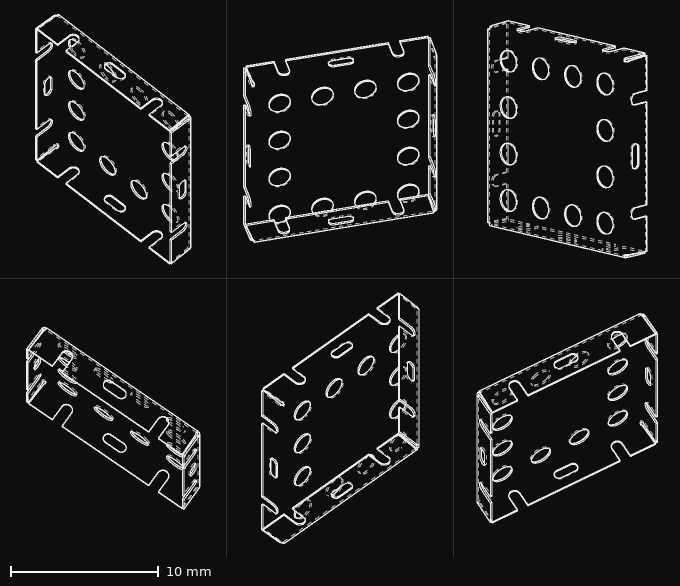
import cadquery as cq

width = 13.06
depth = 2.0
height = 14.02

thickness = 0.13
inner_radius = 0.07
outer_radius = inner_radius + thickness

bend_setback = 0.26
wall_root_setback = 0.22
wall_tip_setback = 0.155
relief_run = 0.1

hole_diameter = 1.5
hole_pitch_x = 3.0
hole_pitch_z = 3.25
holes_per_side = 4

notch_width = 0.8
notch_depth = 1.5
notch_offset = 4.0
slot_length = 1.75
slot_width = 0.65
slot_from_back = 0.9

back = depth / 2
front = -depth / 2


def base_plate():
    """Flat base between the bends, with a corner cut between neighbouring bends."""
    plate = cq.Workplane("XY").box(
        width - 2 * outer_radius, thickness, height - 2 * outer_radius
    )
    corner_cut = bend_setback - outer_radius
    plate = plate.edges("|Y").chamfer(corner_cut)
    return plate.translate((0, back - thickness / 2, 0))


def wall_section(outer_face):
    """Section of a bend and its wall in the YZ plane; the wall's outer face is at z = outer_face."""
    inner_face = outer_face - thickness
    bend_start = outer_face - outer_radius
    bend_end = back - outer_radius
    diagonal = 0.5 ** 0.5
    outer_mid = (bend_end + outer_radius * diagonal, bend_start + outer_radius * diagonal)
    inner_mid = (bend_end + inner_radius * diagonal, bend_start + inner_radius * diagonal)
    return (
        cq.Workplane("YZ")
        .moveTo(back, bend_start)
        .threePointArc(outer_mid, (bend_end, outer_face))
        .lineTo(front, outer_face)
        .lineTo(front, inner_face)
        .lineTo(bend_end, inner_face)
        .threePointArc(inner_mid, (back - thickness, bend_start))
        .close()
    )


def wall_outline(span):
    """Outline of a wall in the XY plane: relieved at the bend, widening towards the free edge."""
    bend_half = span / 2 - bend_setback
    root_half = span / 2 - wall_root_setback
    tip_half = span / 2 - wall_tip_setback
    bend_end = back - outer_radius
    return (
        cq.Workplane("XY")
        .moveTo(-bend_half, back)
        .lineTo(bend_half, back)
        .lineTo(bend_half, bend_end)
        .lineTo(root_half, bend_end - relief_run)
        .lineTo(tip_half, front)
        .lineTo(-tip_half, front)
        .lineTo(-root_half, bend_end - relief_run)
        .lineTo(-bend_half, bend_end)
        .close()
    )


def wall_cutouts(reach):
    """Central slot and two open notches, cut upwards from z = 0 to z = reach."""
    cutouts = (
        cq.Workplane("XY")
        .center(0, back - slot_from_back)
        .slot2D(slot_length, slot_width)
        .extrude(reach)
    )
    for side in (-1, 1):
        notch = (
            cq.Workplane("XY")
            .center(side * notch_offset, front)
            .slot2D(2 * notch_depth, notch_width, 90)
            .extrude(reach)
        )
        cutouts = cutouts.union(notch)
    return cutouts


def wall(span, across):
    """Bent wall of the given span on the +Z side of a shield measuring `across` between walls."""
    blank = wall_section(across / 2).extrude(span / 2, both=True)
    blank = blank.intersect(wall_outline(span).extrude(across))
    return blank.cut(wall_cutouts(across))


def base_holes():
    """Ring of round holes along the border of the base."""
    last = holes_per_side - 1
    points = []
    for column in range(holes_per_side):
        for row in range(holes_per_side):
            if column in (0, last) or row in (0, last):
                x = (column - last / 2) * hole_pitch_x
                z = (row - last / 2) * hole_pitch_z
                points.append((x, z))
    return (
        cq.Workplane("XZ")
        .pushPoints(points)
        .circle(hole_diameter / 2)
        .extrude(depth, both=True)
    )


def rotated_about_y(body, angle):
    return body.rotate((0, 0, 0), (0, 1, 0), angle)


long_wall = wall(height, width)
short_wall = wall(width, height)

shield = base_plate()
for turn in (0, 180):
    shield = shield.union(rotated_about_y(short_wall, turn))
    shield = shield.union(rotated_about_y(long_wall, turn + 90))

result = shield.cut(base_holes())